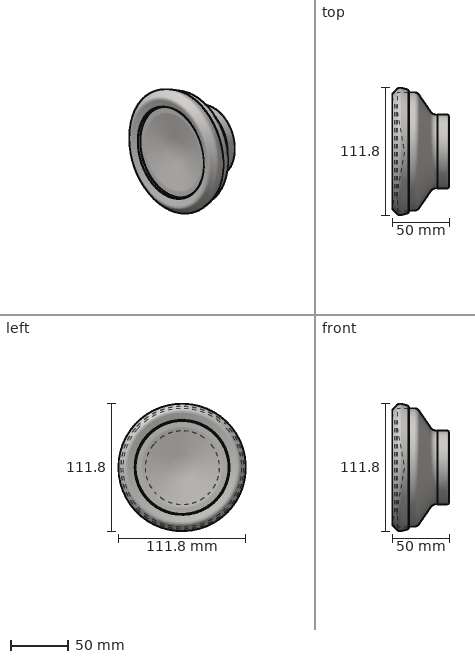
import cadquery as cq
import math

overall_length = 50.0
overall_radius = 55.9

flange_radius = 52.0
flange_face_x = 4.5
neck_radius = 64.6 / 2
collar_radius = 65.0 / 2
collar_start_x = 39.7
collar_end_fillet = 2.0
collar_chamfer_length = 0.3
shoulder_angle = 55.5
shoulder_start_x = 22.1
shoulder_fillet = 5.0
neck_fillet = 6.2

dish_radius = 35.3
dish_rim_fillet = 6.0
dish_depth = 6.3

ring_mirror_sum = 55.8
ring_outer_bevels = [
    (4.7, 55.1),
    (5.6, 55.7),
    (6.4, overall_radius),
    (7.8, overall_radius),
    (13.0, 54.6),
    (14.1, 54.0),
    (14.4, 53.7),
    (15.2, flange_radius),
]


def revolve_outline(corners):
    """Revolve a closed outline of (x, radius, fillet) corners about X; a fillet of 0 stays sharp."""
    count = len(corners)
    points = [cq.Vector(x, radius, 0) for x, radius, fillet in corners]
    outline = None
    for i, (x, radius, fillet) in enumerate(corners):
        corner = points[i]
        if fillet == 0:
            stops = [corner]
        else:
            to_last = (points[i - 1] - corner).normalized()
            to_next = (points[(i + 1) % count] - corner).normalized()
            half_angle = to_last.getAngle(to_next) / 2
            tangent_length = fillet / math.tan(half_angle)
            apex_distance = fillet / math.sin(half_angle) - fillet
            apex = corner + (to_last + to_next).normalized() * apex_distance
            stops = [corner + to_last * tangent_length, apex, corner + to_next * tangent_length]
        if outline is None:
            outline = cq.Workplane("XY").moveTo(stops[0].x, stops[0].y)
        else:
            outline = outline.lineTo(stops[0].x, stops[0].y)
        if fillet > 0:
            outline = outline.threePointArc(stops[1].toTuple()[:2], stops[2].toTuple()[:2])
    return outline.close().revolve(360, (0, 0, 0), (1, 0, 0))


def make_knob():
    shoulder_end_x = shoulder_start_x + (flange_radius - neck_radius) / math.tan(math.radians(shoulder_angle))
    return revolve_outline([
        (flange_face_x + dish_depth, 0, 0),
        (flange_face_x, dish_radius, dish_rim_fillet),
        (flange_face_x, flange_radius, 0),
        (shoulder_start_x, flange_radius, shoulder_fillet),
        (shoulder_end_x, neck_radius, neck_fillet),
        (collar_start_x, neck_radius, 0),
        (collar_start_x + collar_chamfer_length, collar_radius, 0),
        (overall_length, collar_radius, collar_end_fillet),
        (overall_length, 0, 0),
    ])


def make_ring():
    front_bevels = [(overall_radius - radius, ring_mirror_sum - x) for x, radius in ring_outer_bevels]
    bore_radius = front_bevels[-1][1]
    seat = [(flange_face_x, flange_radius), (flange_face_x, bore_radius)]
    outline = ring_outer_bevels + seat + front_bevels[::-1]
    return revolve_outline([(x, radius, 0) for x, radius in outline])


knob = make_knob()
ring = make_ring()
result = cq.Compound.makeCompound([knob.val(), ring.val()])